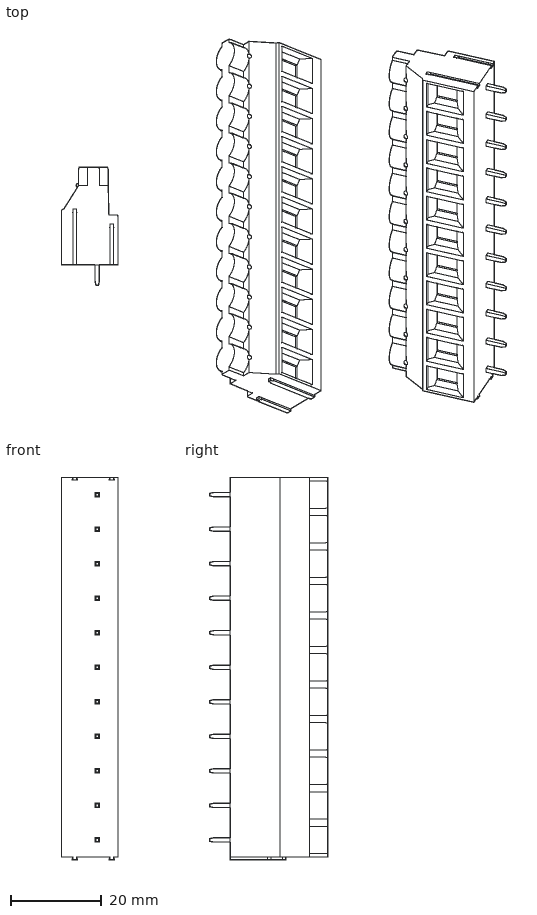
import cadquery as cq
import math

POLES = 11
PITCH = 7.62
ROW_LENGTH = POLES * PITCH
POLE_CENTRES = [(pole + 0.5) * PITCH for pole in range(POLES)]

WIDTH = 12.5
LIP_HEIGHT = 12.1
LIP_CHAMFER_X = 0.55
LIP_CHAMFER_Y = 0.3
SHOULDER_Y = 17.5
SHOULDER_LEFT = 3.75
SHOULDER_RIGHT = 10.35
STEP_Y = 11.05
STEP_X = 10.5
STEP_RADIUS = 0.4

TURRET_X = 7.05
TURRET_RADIUS = 3.3
WEB_WIDTH = 2.7
TOP_Y = 21.6
TOP_BEVEL_HEIGHT = 0.5
TOP_BEVEL_INSET = 0.15
BEAD_RADIUS = 0.5

ENTRY_BOTTOM = 2.5
ENTRY_TOP = 11.2
ENTRY_HEIGHT = 6.36
ENTRY_DEPTH = 2.0
ENTRY_SLOPE_RUN = 1.1
FUNNEL_DEPTH = 0.4
CLAMP_HEIGHT = 3.4
CLAMP_DEPTH = 0.5

PIN_X = 7.9
PIN_SIZE = 1.0
PIN_LENGTH = 4.5
PIN_TIP_SIZE = 0.6
PIN_TIP_LENGTH = 0.9
PIN_ROOT = 1.0

DOVETAILS = [(2.95, 12.35), (11.1, 9.0)]
DOVETAIL_HEIGHT = 0.6
DOVETAIL_NECK = 0.8
DOVETAIL_WIDTH = 1.3
STRAIGHT_END = 0.75


def prism_y(points, length):
    """Extrude an XZ outline from the board face along +Y."""
    return cq.Workplane("XZ").polyline(points).close().extrude(-length)


def box(size, corner):
    return cq.Workplane("XY").box(*size, centered=False).translate(corner)


def housing():
    step_corner = STEP_Y - STEP_RADIUS
    arc_offset = STEP_RADIUS * (1 - math.sqrt(0.5))
    return (
        cq.Workplane("XY")
        .moveTo(0, 0)
        .lineTo(WIDTH, 0)
        .lineTo(WIDTH, step_corner)
        .threePointArc((WIDTH - arc_offset, STEP_Y - arc_offset), (WIDTH - STEP_RADIUS, STEP_Y))
        .lineTo(STEP_X, STEP_Y)
        .lineTo(SHOULDER_RIGHT, SHOULDER_Y)
        .lineTo(SHOULDER_LEFT, SHOULDER_Y)
        .lineTo(LIP_CHAMFER_X, LIP_HEIGHT + LIP_CHAMFER_Y)
        .lineTo(0, LIP_HEIGHT)
        .close()
        .extrude(ROW_LENGTH)
    )


def web():
    half = WEB_WIDTH / 2
    bevel_start = TOP_Y - TOP_BEVEL_HEIGHT
    outline = [
        (TURRET_X - half, STEP_Y),
        (TURRET_X + half, STEP_Y),
        (TURRET_X + half, bevel_start),
        (TURRET_X + half - TOP_BEVEL_INSET, TOP_Y),
        (TURRET_X - half + TOP_BEVEL_INSET, TOP_Y),
        (TURRET_X - half, bevel_start),
    ]
    return cq.Workplane("XY").polyline(outline).close().extrude(ROW_LENGTH)


def turret(z):
    """Round screw turret with a steep bevel around its end."""
    bevel_start = TOP_Y - TOP_BEVEL_HEIGHT
    outline = [
        (0, STEP_Y),
        (TURRET_RADIUS, STEP_Y),
        (TURRET_RADIUS, bevel_start),
        (TURRET_RADIUS - TOP_BEVEL_INSET, TOP_Y),
        (0, TOP_Y),
    ]
    body = cq.Workplane("XY").polyline(outline).close().revolve(360, (0, 0, 0), (0, 1, 0))
    return body.translate((TURRET_X, 0, z))


def bead(z):
    """Small marker bead at the foot of a turret, on the shoulder edge."""
    return cq.Workplane("XY").sphere(BEAD_RADIUS).translate((SHOULDER_LEFT, SHOULDER_Y, z))


def wire_entry(z):
    """Pocket with 45 degree walls across Y, narrowed along Z by a short funnel to the clamp opening."""
    inner_bottom = ENTRY_BOTTOM + ENTRY_DEPTH
    inner_top = ENTRY_TOP - ENTRY_SLOPE_RUN
    outline = [
        (0, ENTRY_BOTTOM),
        (ENTRY_DEPTH, inner_bottom),
        (ENTRY_DEPTH, inner_top),
        (ENTRY_DEPTH - ENTRY_SLOPE_RUN, ENTRY_TOP),
        (0, ENTRY_TOP),
    ]
    pocket = cq.Workplane("XY").polyline(outline).close().extrude(ENTRY_HEIGHT)
    pocket = pocket.translate((0, 0, z - ENTRY_HEIGHT / 2))

    inner_length = inner_top - inner_bottom
    clamp_length = inner_length - 2 * FUNNEL_DEPTH
    middle = (inner_bottom + inner_top) / 2
    funnel = (
        cq.Workplane("YZ", origin=(ENTRY_DEPTH, middle, z))
        .rect(inner_length, ENTRY_HEIGHT)
        .workplane(offset=FUNNEL_DEPTH)
        .rect(clamp_length, CLAMP_HEIGHT)
        .loft()
    )
    clamp = box(
        (CLAMP_DEPTH, clamp_length, CLAMP_HEIGHT),
        (ENTRY_DEPTH + FUNNEL_DEPTH, middle - clamp_length / 2, z - CLAMP_HEIGHT / 2),
    )
    return pocket.union(funnel).union(clamp)


def pin(z):
    """Square solder pin with a tapered tip, rooted inside the housing."""
    shank_length = PIN_LENGTH - PIN_TIP_LENGTH
    shank = (
        cq.Workplane("XZ", origin=(PIN_X, PIN_ROOT, z))
        .rect(PIN_SIZE, PIN_SIZE)
        .extrude(PIN_ROOT + shank_length)
    )
    tip = (
        cq.Workplane("XZ", origin=(PIN_X, -shank_length, z))
        .rect(PIN_SIZE, PIN_SIZE)
        .workplane(offset=PIN_TIP_LENGTH)
        .rect(PIN_TIP_SIZE, PIN_TIP_SIZE)
        .loft()
    )
    return shank.union(tip)


def dovetail(x, length, base_z):
    """Dovetail bar hanging below base_z, ending in a straight-sided piece."""
    neck = DOVETAIL_NECK / 2
    wide = DOVETAIL_WIDTH / 2
    bottom = base_z - DOVETAIL_HEIGHT
    outline = [(x - neck, base_z), (x + neck, base_z), (x + wide, bottom), (x - wide, bottom)]
    bar = prism_y(outline, length - STRAIGHT_END)
    end = box((DOVETAIL_NECK, length, DOVETAIL_HEIGHT), (x - neck, 0, bottom))
    return bar.union(end)


def at_each_pole(feature):
    """One compound holding a copy of the feature at every pole."""
    return cq.Workplane(cq.Compound.makeCompound([feature(z).val() for z in POLE_CENTRES]))


result = housing().union(web())
for raised_feature in (turret, bead, pin):
    result = result.union(at_each_pole(raised_feature))
result = result.cut(at_each_pole(wire_entry))
for dovetail_x, dovetail_length in DOVETAILS:
    result = result.union(dovetail(dovetail_x, dovetail_length, 0))
    result = result.cut(dovetail(dovetail_x, dovetail_length, ROW_LENGTH))